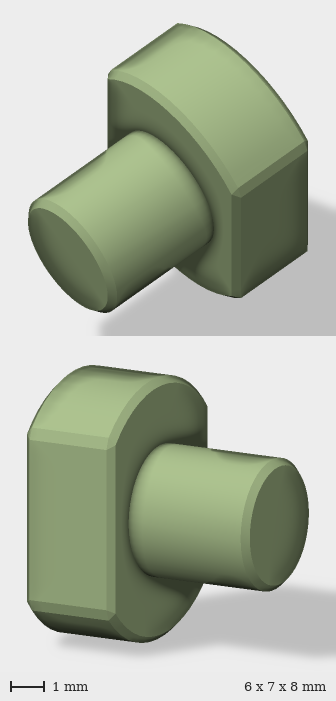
import cadquery as cq
import math

head_diameter = 8.0
head_width = 6.0
head_thickness = 3.0

pin_diameter = 4.0
pin_length = 4.0

chamfer_size = 0.2

beveled_corners = [(-1, 1), (-1, -1), (1, 1)]

head_radius = head_diameter / 2
half_width = head_width / 2


def make_head_blank():
    """Flatted disc from Y = 0 to head_thickness, chamfered around both faces."""
    disc = cq.Workplane("XZ").circle(head_radius).extrude(-head_thickness)
    flats = cq.Workplane("XZ").rect(head_width, head_diameter).extrude(-head_thickness)
    return disc.intersect(flats).faces("<Y or >Y").chamfer(chamfer_size)


def make_corner_cutter(x_sign, z_sign):
    """Cutter for one corner bevel, with triangular facets leading to the face corners."""
    corner_angle = math.acos(half_width / head_radius)
    flat_x = half_width
    flat_z = head_radius * math.sin(corner_angle) - chamfer_size
    round_angle = corner_angle + chamfer_size / head_radius
    round_x = head_radius * math.cos(round_angle)
    round_z = head_radius * math.sin(round_angle)

    bevel_width = math.hypot(round_x - flat_x, round_z - flat_z)
    out_x = (round_z - flat_z) / bevel_width
    out_z = (flat_x - round_x) / bevel_width

    face_x = half_width - chamfer_size
    face_z = math.sqrt((head_radius - chamfer_size) ** 2 - face_x**2)

    bevel_distance = flat_x * out_x + flat_z * out_z
    face_distance = face_x * out_x + face_z * out_z

    out_x *= x_sign
    out_z *= z_sign
    section = cq.Plane(origin=(0, 0, 0), xDir=(out_x, 0, out_z), normal=(-out_z, 0, out_x))
    outline = [
        (face_distance, 0),
        (bevel_distance, chamfer_size),
        (bevel_distance, head_thickness - chamfer_size),
        (face_distance, head_thickness),
        (head_diameter, head_thickness),
        (head_diameter, 0),
    ]
    return cq.Workplane(section).polyline(outline).close().extrude(head_radius, both=True)


def make_pin():
    """Round pin along -Y with a chamfered free end."""
    pin = cq.Workplane("XZ").circle(pin_diameter / 2).extrude(pin_length)
    return pin.faces("<Y").chamfer(chamfer_size)


head = make_head_blank()
for x_sign, z_sign in beveled_corners:
    head = head.cut(make_corner_cutter(x_sign, z_sign))

result = head.union(make_pin())